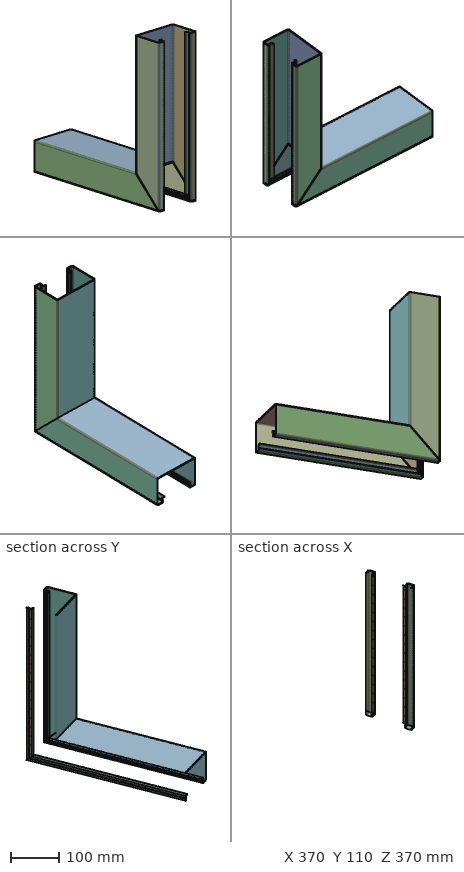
import cadquery as cq

leg_length = 370.0
width = 110.0
depth = 70.0

sheet = 2.2
bend_radius = 3.0
flange_width = 17.0
tab_reach = 21.5
tab_top = 14.0
jog_start = 5.0
jog = 1.0
tip_radius = 0.92

half_width = width / 2
lip_face = half_width - flange_width
lip_back = lip_face + sheet
bend_start = lip_face + bend_radius
inner_radius = bend_radius - sheet


def bar(y_start, y_end, z_start, z_end):
    """Bar over the whole leg length with the given Y and Z limits."""
    size_y = y_end - y_start
    size_z = z_end - z_start
    block = cq.Workplane("XY").box(leg_length, size_y, size_z, centered=False)
    return block.translate((0, y_start, z_start))


def make_channel():
    """Box section with concentric rounded corners, open between the two hooks."""
    outside = bar(-half_width, half_width, 0, depth).edges("|X").fillet(bend_radius)
    inner_half = half_width - sheet
    cavity = bar(-inner_half, inner_half, sheet, depth - sheet)
    cavity = cavity.edges("|X").fillet(inner_radius)
    opening = bar(-bend_start, bend_start, 0, sheet)
    return outside.cut(cavity).cut(opening)


def make_hook():
    """Lip on the +Y side: bends up from the flange, then over into a tab."""
    upper_face = lip_face + jog
    upper_back = lip_back + jog
    tab_under = tab_top - sheet
    tab_edge = half_width - tab_reach
    outline = (
        cq.Workplane("YZ")
        .moveTo(bend_start, 0)
        .radiusArc((lip_face, bend_radius), bend_radius)
        .lineTo(lip_face, jog_start)
        .lineTo(upper_face, jog_start + jog)
        .lineTo(upper_face, tab_under - inner_radius)
        .radiusArc((upper_face - inner_radius, tab_under), -inner_radius)
        .lineTo(tab_edge + tip_radius, tab_under)
        .radiusArc((tab_edge, tab_under + tip_radius), tip_radius)
        .lineTo(tab_edge, tab_top - tip_radius)
        .radiusArc((tab_edge + tip_radius, tab_top), tip_radius)
        .lineTo(upper_back - bend_radius, tab_top)
        .radiusArc((upper_back, tab_top - bend_radius), bend_radius)
        .lineTo(upper_back, jog_start + jog)
        .lineTo(lip_back, jog_start)
        .lineTo(lip_back, bend_radius)
        .radiusArc((bend_start, sheet), -inner_radius)
        .close()
    )
    return outline.extrude(leg_length)


def make_mitre_wedge():
    """Everything of the channel's length that lies beyond the 45 degree mitre plane."""
    corners = [(leg_length, 0), (leg_length, depth), (leg_length - depth, depth)]
    return cq.Workplane("XZ").polyline(corners).close().extrude(half_width, both=True)


def make_leg():
    """Leg along X, open downwards, mitred at its +X end."""
    hook = make_hook()
    profile = make_channel().union(hook).union(hook.mirror("XZ"))
    return profile.cut(make_mitre_wedge())


flat_leg = make_leg()
upright_leg = flat_leg.mirror(cq.Vector(1, 0, 1), (leg_length, 0, 0))

result = cq.Compound.makeCompound([flat_leg.val(), upright_leg.val()])